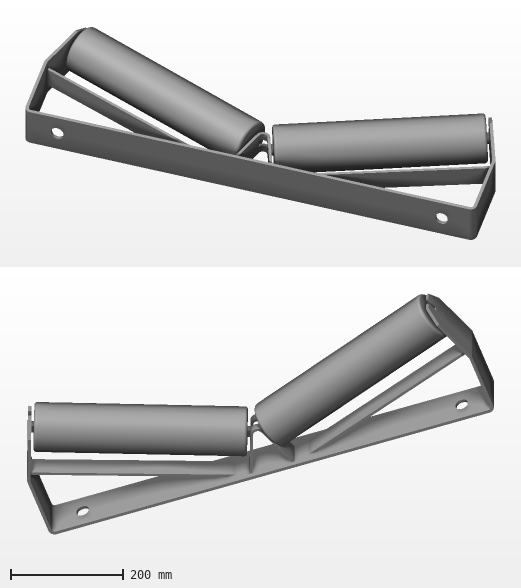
import cadquery as cq
import math


frame_length = 840.0
strip_width = 80.0
frame_thickness = 6.0
frame_outer_bend = 12.0
frame_inner_bend = frame_outer_bend - frame_thickness
bend_height = 127.0
tip_beyond_shaft = 30.0
tip_chamfer_length = 30.0
tip_chamfer_width = 18.5

hole_edge_distance = 62.0
hole_width = 23.0
hole_height = 27.0

trough_angle = 20.0
roller_tilt = 1.0
axis_offset = 68.0
roller_diameter = 89.0
roller_edge_radius = 5.0
roller_gap = 5.0
shaft_diameter = 20.0
shaft_flat_width = 14.0

bracket_thickness = 5.0
bracket_width = 45.0
bracket_height = 96.0
bracket_outer_bend = 13.5
bracket_inner_bend = bracket_outer_bend - bracket_thickness

brace_width = 40.0
brace_thickness = 5.0

half_length = frame_length / 2
sin_trough = math.sin(math.radians(trough_angle))
cos_trough = math.cos(math.radians(trough_angle))
sin_tilt = math.sin(math.radians(roller_tilt))
cos_tilt = math.cos(math.radians(roller_tilt))
tan_tilt = math.tan(math.radians(roller_tilt))


def trough_point(along, across):
    """X, Y of a point given along the right-hand roller axis and square to it, from the origin."""
    return (along * cos_trough - across * sin_trough, along * sin_trough + across * cos_trough)


arm_outer = half_length * cos_trough + bend_height * sin_trough
arm_inner = arm_outer - frame_thickness
bracket_bend_centre_y = bracket_height - bracket_outer_bend
bracket_outer = bracket_bend_centre_y * sin_trough + bracket_outer_bend
bracket_inner = bracket_outer - bracket_thickness
bracket_z = -(arm_outer - bracket_inner) * tan_tilt
tip_across = axis_offset + tip_beyond_shaft

shaft_end = trough_point(arm_outer, axis_offset)
shaft_plane = cq.Plane(
    origin=(shaft_end[0], shaft_end[1], 0),
    xDir=(-sin_trough, cos_trough, 0),
    normal=(cos_trough * cos_tilt, sin_trough * cos_tilt, sin_tilt),
)


def on_side(shape, side):
    """Return a right-hand shape for side 1, or its mirror image for side -1."""
    return shape if side > 0 else shape.mirror("YZ")


def mirrored_outline(right_points):
    """Close a right-hand chain of points with its mirror image across x = 0."""
    return right_points + [(-x, y) for x, y in reversed(right_points)]


def strip(points, width):
    return cq.Workplane("XY").polyline(points).close().extrude(width / 2, both=True)


def round_corner(body, point, radius):
    """Round the Z edge at a corner point."""
    corner = cq.selectors.NearestToPointSelector((*point, 0))
    return body.edges("|Z").edges(corner).fillet(radius)


def shaft_section(start, end):
    """Shaft with two flats, between two places along the roller axis."""
    length = end - start
    base = cq.Workplane(shaft_plane).workplane(offset=start - arm_outer)
    round_bar = base.circle(shaft_diameter / 2).extrude(length)
    flat_bar = base.rect(shaft_diameter, shaft_flat_width).extrude(length)
    return round_bar.intersect(flat_bar)


def shaft_slot(start, end):
    """Cutter for a slot that seats the shaft and is open towards the arm tip."""
    slot_length = tip_beyond_shaft + shaft_diameter
    opening = (
        cq.Workplane(shaft_plane)
        .workplane(offset=start - arm_outer)
        .center(slot_length / 2, 0)
        .rect(slot_length, shaft_flat_width)
        .extrude(end - start)
    )
    return opening.union(shaft_section(start, end))


def tip_chamfers():
    """Cutters for the two corners of the right-hand arm tip."""
    plane = cq.Plane(
        origin=(*trough_point(arm_inner - frame_thickness, tip_across), 0),
        xDir=(-sin_trough, cos_trough, 0),
        normal=(cos_trough, sin_trough, 0),
    )
    edge = strip_width / 2
    corners = cq.Workplane(plane)
    for z_side in (1, -1):
        corners = (
            corners.moveTo(0, z_side * edge)
            .lineTo(-tip_chamfer_length, z_side * edge)
            .lineTo(0, z_side * (edge - tip_chamfer_width))
            .close()
        )
    return corners.extrude(3 * frame_thickness)


outer_bend_point = (half_length, bend_height)
outer_corner = (half_length, 0)
inner_x = half_length - frame_thickness
inner_corner = (inner_x, frame_thickness)
inner_bend_point = (inner_x, (arm_inner - inner_x * cos_trough) / sin_trough)


def make_frame():
    right_chain = [
        inner_corner,
        inner_bend_point,
        trough_point(arm_inner, tip_across),
        trough_point(arm_outer, tip_across),
        outer_bend_point,
        outer_corner,
    ]
    body = strip(mirrored_outline(right_chain), strip_width)
    for side in (1, -1):
        for x, y in (outer_corner, outer_bend_point):
            body = round_corner(body, (side * x, y), frame_outer_bend)
        for x, y in (inner_corner, inner_bend_point):
            body = round_corner(body, (side * x, y), frame_inner_bend)

    hole_x = half_length - hole_edge_distance
    holes = (
        cq.Workplane("XZ")
        .pushPoints([(-hole_x, 0), (hole_x, 0)])
        .slot2D(hole_height, hole_width, 90)
        .extrude(-frame_thickness)
    )
    body = body.cut(holes)

    for side in (1, -1):
        body = body.cut(on_side(tip_chamfers(), side))
        body = body.cut(on_side(shaft_slot(arm_inner - frame_thickness, arm_outer + frame_thickness), side))
    return body


def make_bracket():
    def foot_x(along):
        return (along - frame_thickness * sin_trough) / cos_trough

    outer_apex = (0, bracket_outer / sin_trough)
    inner_apex = (0, bracket_inner / sin_trough)
    outline = [
        inner_apex,
        (foot_x(bracket_inner), frame_thickness),
        (foot_x(bracket_outer), frame_thickness),
        outer_apex,
        (-foot_x(bracket_outer), frame_thickness),
        (-foot_x(bracket_inner), frame_thickness),
    ]
    body = strip(outline, bracket_width)
    body = round_corner(body, outer_apex, bracket_outer_bend)
    body = round_corner(body, inner_apex, bracket_inner_bend)
    body = body.translate((0, 0, bracket_z))

    bend_centre = bracket_outer - bracket_outer_bend
    for side in (1, -1):
        body = body.cut(on_side(shaft_slot(bend_centre, bracket_outer + bracket_thickness), side))
    return body


def make_roller(side):
    start = bracket_outer + roller_gap
    end = arm_inner - roller_gap
    drum = (
        cq.Workplane(shaft_plane)
        .workplane(offset=start - arm_outer)
        .circle(roller_diameter / 2)
        .extrude(end - start)
        .edges()
        .fillet(roller_edge_radius)
    )
    return on_side(drum.union(shaft_section(bracket_inner, arm_outer)), side)


def make_brace(side, frame):
    bend_across = inner_bend_point[1] * cos_trough - inner_bend_point[0] * sin_trough
    outline = []
    for across in (bend_across, bend_across + brace_thickness):
        foot_along = (frame_thickness - across * cos_trough) / sin_trough
        outline.append([trough_point(foot_along, across), trough_point(arm_inner, across)])
    (lower_foot, lower_end), (upper_foot, upper_end) = outline
    bar = strip([lower_foot, lower_end, upper_end, upper_foot], brace_width)
    return on_side(bar, side).cut(frame)


frame = make_frame()
bracket = make_bracket()
braces = [make_brace(side, frame) for side in (1, -1)]
rollers = [make_roller(side) for side in (1, -1)]

result = cq.Compound.makeCompound(
    [frame.val(), bracket.val()] + [body.val() for body in braces + rollers]
)